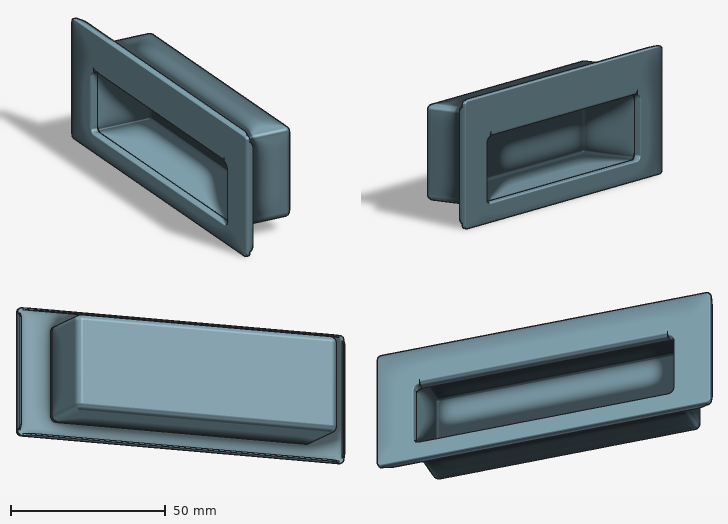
import cadquery as cq


plate_length = 114.8
plate_height = 42.2
plate_thickness = 1.4
plate_corner_radius = 1.5
plate_edge_radius = 0.5

lip_back = 2.6
lip_lean = 0.2
lip_base_width = 0.7
lip_tip_width = 0.5
lip_end_gap = 1.8
long_lip_end_run = 4.1
short_lip_end_run = 2.0

cup_length = 91.8
cup_height = 31.7
cup_back = 23.5
cup_edge_radius = 2.1
wall = 1.1
cavity_length = cup_length - 2 * wall
cavity_height = cup_height - 2 * wall
cavity_edge_radius = 1.0

opening_top = 7.1
opening_bottom = -cavity_height / 2
opening_height = opening_top - opening_bottom
opening_corner_radius = 2.1
opening_edge_radius = 0.5
grip_radius = 1.7
grip_length = cavity_length - 2 * opening_corner_radius


def block(length, height, front, back, center_z=0.0):
    """Box centred on x = 0 that spans front..back along Y."""
    size_y = back - front
    return cq.Workplane("XY").box(length, size_y, height).translate((0, front + size_y / 2, center_z))


def lip(edge_length, edge_offset, end_run):
    """Lip along a +Z plate edge: a leaning section whose two ends curve down to the plate."""
    section = (
        cq.Workplane("YZ")
        .moveTo(plate_thickness, edge_offset)
        .lineTo(lip_back, edge_offset - lip_lean)
        .lineTo(lip_back, edge_offset - lip_lean - lip_tip_width)
        .lineTo(plate_thickness, edge_offset - lip_base_width)
        .close()
        .extrude(edge_length / 2, both=True)
    )
    foot = edge_length / 2 - lip_end_gap
    crest = foot - end_run
    rise = lip_back - plate_thickness
    radius = (end_run**2 + rise**2) / (2 * rise)
    side = (
        cq.Workplane("XY")
        .moveTo(-foot, plate_thickness)
        .radiusArc((-crest, lip_back), radius)
        .lineTo(crest, lip_back)
        .radiusArc((foot, plate_thickness), radius)
        .close()
        .extrude(edge_offset)
    )
    return section.intersect(side)


def make_plate():
    plate = (
        block(plate_length, plate_height, 0, plate_thickness)
        .edges("|Y").fillet(plate_corner_radius)
        .faces("<Y").edges().fillet(plate_edge_radius)
    )
    seat = block(cup_length, cup_height, plate_thickness, lip_back).edges("|Y").fillet(cup_edge_radius)
    plate = plate.union(seat)
    for angle in (0, 180):
        long_lip = lip(plate_length, plate_height / 2, long_lip_end_run)
        plate = plate.union(long_lip.rotate((0, 0, 0), (0, 1, 0), angle))
    for angle in (90, 270):
        short_lip = lip(plate_height, plate_length / 2, short_lip_end_run)
        plate = plate.union(short_lip.rotate((0, 0, 0), (0, 1, 0), angle))

    opening = (
        block(cavity_length, opening_height, 0, lip_back, (opening_top + opening_bottom) / 2)
        .edges("|Y").fillet(opening_corner_radius)
    )
    plate = plate.cut(opening)
    front_rim = plate.faces("<Y").val().innerWires()[0].Edges()
    plate = plate.newObject(front_rim).fillet(opening_edge_radius)

    grip = (
        cq.Workplane("YZ")
        .moveTo(0, opening_top)
        .lineTo(0, opening_top + grip_radius)
        .radiusArc((grip_radius, opening_top), -grip_radius)
        .close()
        .extrude(grip_length / 2, both=True)
    )
    return plate.cut(grip)


def make_cup():
    outer = (
        block(cup_length, cup_height, lip_back, cup_back)
        .edges("|Y or >Y").fillet(cup_edge_radius)
    )
    cavity = (
        block(cavity_length, cavity_height, lip_back, cup_back - wall)
        .edges("|Y or >Y").fillet(cavity_edge_radius)
    )
    return outer.cut(cavity)


plate = make_plate()
cup = make_cup()

result = cq.Compound.makeCompound([plate.val(), cup.val()])